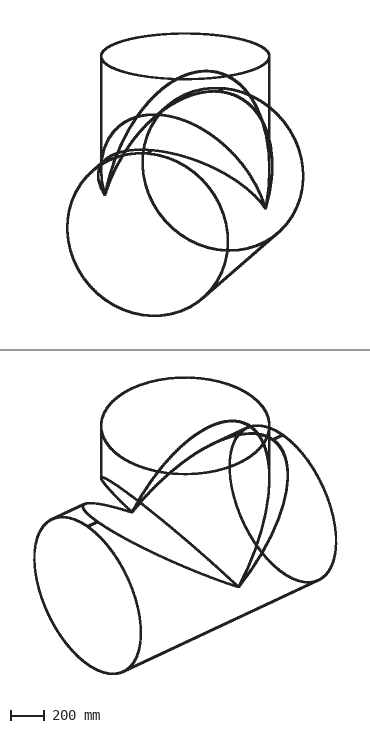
import cadquery as cq
import math

pipe_diameter = 1005.0
wall = 3.0
run_length = 1500.0
branch_top = 900.0
seam_gap = 3.0
run_notch_half_width = 675.0
branch_shoulder_height = 675.0

radius = pipe_diameter / 2
inner_radius = radius - wall


def make_run():
    """Horizontal pipe along Y with a V notch cut down to its axis and an open seam along its top."""
    outer_gap_height = math.sqrt(radius**2 - (seam_gap / 2) ** 2)
    inner_gap_height = math.sqrt(inner_radius**2 - (seam_gap / 2) ** 2)
    pipe = (
        cq.Workplane("XZ", origin=(0, run_length / 2, 0))
        .moveTo(-seam_gap / 2, outer_gap_height)
        .threePointArc((0, -radius), (seam_gap / 2, outer_gap_height))
        .lineTo(seam_gap / 2, inner_gap_height)
        .threePointArc((0, -inner_radius), (-seam_gap / 2, inner_gap_height))
        .close()
        .extrude(run_length)
    )
    notch = (
        cq.Workplane("YZ")
        .polyline([(0, 0), (run_notch_half_width, radius), (-run_notch_half_width, radius)])
        .close()
        .extrude(pipe_diameter, both=True)
    )
    return pipe.cut(notch)


def make_branch():
    """Vertical pipe whose lower end is mitred to a point on the run axis."""
    pipe = cq.Workplane("XY").circle(radius).circle(inner_radius).extrude(branch_top)
    mitre_envelope = (
        cq.Workplane("YZ")
        .polyline(
            [
                (0, 0),
                (radius, branch_shoulder_height),
                (radius, branch_top),
                (-radius, branch_top),
                (-radius, branch_shoulder_height),
            ]
        )
        .close()
        .extrude(pipe_diameter, both=True)
    )
    return pipe.intersect(mitre_envelope)


run = make_run()
branch = make_branch()

result = cq.Compound.makeCompound([run.solids().val(), branch.solids().val()])